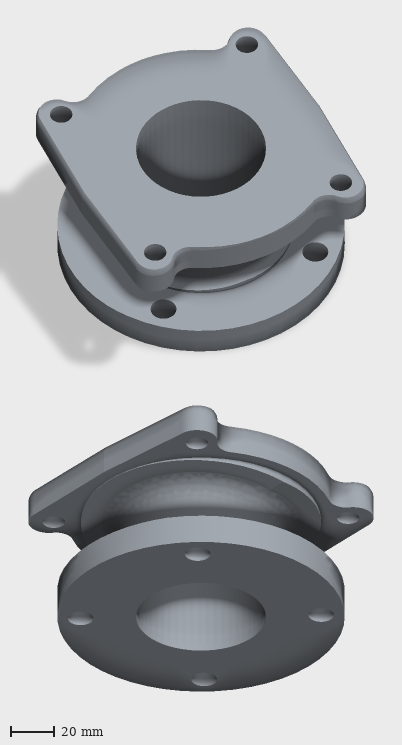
import cadquery as cq
import math

total_height = 66.7
flange_radius = 66.7
flange_thickness = 14.3
plate_thickness = 14.1
plate_bottom = total_height - plate_thickness

neck_radius = 38.1
bore_radius = 30.1
lower_collar_radius = 43.1
upper_collar_radius = 55.7
lower_neck_fillet = 3.0
upper_neck_fillet = 8.3

lower_ridge_height = 17.2
lower_draft_reach = 56.0
upper_ridge_height = 48.5
upper_draft_reach = 60.8
top_ridge_height = 71.5
top_draft = 3.0
top_edge_fillet = 5.3
roof_half_width = 80.0
edge_margin = 0.1

plate_disc_radius = 62.0
lobe_offset = 49.9
lobe_radius = 9.6
notch_radius = 8.0

plate_hole_offset = 48.3
plate_hole_radius = 5.2
flange_hole_offset = 39.5
flange_hole_radius = 6.0


def cylinder(radius, bottom, top):
    return cq.Workplane("XY").workplane(offset=bottom).circle(radius).extrude(top - bottom)


def roof_body(ridge_height, slope, far_height):
    """Prism along X between a roof, whose height falls by slope * |y|, and a flat face."""
    eave_height = ridge_height - slope * roof_half_width
    profile = [
        (-roof_half_width, far_height),
        (-roof_half_width, eave_height),
        (0, ridge_height),
        (roof_half_width, eave_height),
        (roof_half_width, far_height),
    ]
    return cq.Workplane("YZ").polyline(profile).close().extrude(roof_half_width, both=True)


def point_at(center, radius, angle):
    return (center[0] + radius * math.cos(angle), center[1] + radius * math.sin(angle))


def plate_quarter_outline():
    """Quarter plate: half a shallow-peaked straight side, corner lobe, notch and disc side."""
    lobe = (lobe_offset, lobe_offset)

    rise = plate_disc_radius - lobe_offset
    peak_distance = math.hypot(lobe_offset, rise)
    side_normal = math.atan2(rise, -lobe_offset) - math.acos(lobe_radius / peak_distance)
    side_end = point_at(lobe, lobe_radius, side_normal)

    lobe_distance = math.hypot(*lobe)
    notch_to_axis = plate_disc_radius + notch_radius
    notch_to_lobe = lobe_radius + notch_radius
    cosine = (notch_to_axis**2 + lobe_distance**2 - notch_to_lobe**2) / (2 * notch_to_axis * lobe_distance)
    notch_angle = math.pi / 4 - math.acos(cosine)
    notch = point_at((0, 0), notch_to_axis, notch_angle)
    to_notch = math.atan2(notch[1] - lobe[1], notch[0] - lobe[0])
    lobe_end = point_at(lobe, lobe_radius, to_notch)
    lobe_middle = point_at(lobe, lobe_radius, (side_normal + to_notch) / 2)
    notch_end = point_at((0, 0), plate_disc_radius, notch_angle)
    notch_middle = point_at(notch, notch_radius, (to_notch + math.pi + notch_angle + math.pi) / 2)

    return (
        cq.Workplane("XY")
        .workplane(offset=plate_bottom)
        .lineTo(0, plate_disc_radius)
        .lineTo(*side_end)
        .threePointArc(lobe_middle, lobe_end)
        .threePointArc(notch_middle, notch_end)
        .threePointArc(point_at((0, 0), plate_disc_radius, notch_angle / 2), (plate_disc_radius, 0))
        .close()
    )


def make_plate():
    """Cast plate with a rounded, drafted top, machined flat at the total height."""
    slope = math.tan(math.radians(top_draft))
    quarter = plate_quarter_outline().extrude(top_ridge_height - plate_bottom)
    quarter = quarter.intersect(roof_body(top_ridge_height, slope, 0))
    rim = cq.selectors.BoxSelector(
        (edge_margin, edge_margin, total_height),
        (flange_radius, flange_radius, top_ridge_height),
    )
    quarter = quarter.edges(rim).fillet(top_edge_fillet)
    quarter = quarter.intersect(cylinder(2 * flange_radius, 0, total_height))
    half = quarter.union(quarter.mirror("YZ"))
    return half.union(half.mirror("XZ"))


def neck_joint(bottom, top):
    """Selector for the edges where the neck meets a collar between two heights."""
    reach = neck_radius + edge_margin
    return cq.selectors.BoxSelector((-reach, -reach, bottom), (reach, reach, top), boundingbox=True)


def make_neck(lower_roof, upper_roof):
    """Neck between two collars whose facing sides are drafted and filleted into it."""
    lower_collar = cylinder(lower_collar_radius, 0, lower_ridge_height).intersect(lower_roof)
    upper_collar = cylinder(upper_collar_radius, upper_ridge_height, total_height - top_edge_fillet)
    upper_collar = upper_collar.intersect(upper_roof)
    neck = cylinder(neck_radius, 0, total_height).union(lower_collar).union(upper_collar)
    half = neck.intersect(cq.Workplane("XY").box(
        2 * flange_radius, flange_radius, total_height, centered=(True, False, False)
    ))
    lower_joint = neck_joint(flange_thickness, lower_ridge_height + edge_margin)
    upper_joint = neck_joint(upper_ridge_height - edge_margin, plate_bottom)
    half = half.edges("%ELLIPSE").edges(lower_joint).fillet(lower_neck_fillet)
    half = half.edges("%ELLIPSE").edges(upper_joint).fillet(upper_neck_fillet)
    return half.union(half.mirror("XZ"))


def diagonal_holes(offset, radius, bottom, top):
    centers = [(x * offset, y * offset) for x in (-1, 1) for y in (-1, 1)]
    sketch = cq.Workplane("XY").workplane(offset=bottom).pushPoints(centers)
    return sketch.circle(radius).extrude(top - bottom)


lower_slope = (lower_ridge_height - flange_thickness) / lower_draft_reach
upper_slope = (upper_ridge_height - plate_bottom) / upper_draft_reach
lower_roof = roof_body(lower_ridge_height, lower_slope, 0)
upper_roof = roof_body(upper_ridge_height, upper_slope, total_height)

flange = cylinder(flange_radius, 0, flange_thickness).intersect(lower_roof)
flange = flange.cut(diagonal_holes(flange_hole_offset, flange_hole_radius, 0, flange_thickness))
plate = make_plate().intersect(upper_roof)
plate = plate.cut(diagonal_holes(plate_hole_offset, plate_hole_radius, plate_bottom, total_height))

result = make_neck(lower_roof, upper_roof).union(flange).union(plate)
result = result.cut(cylinder(bore_radius, 0, total_height))